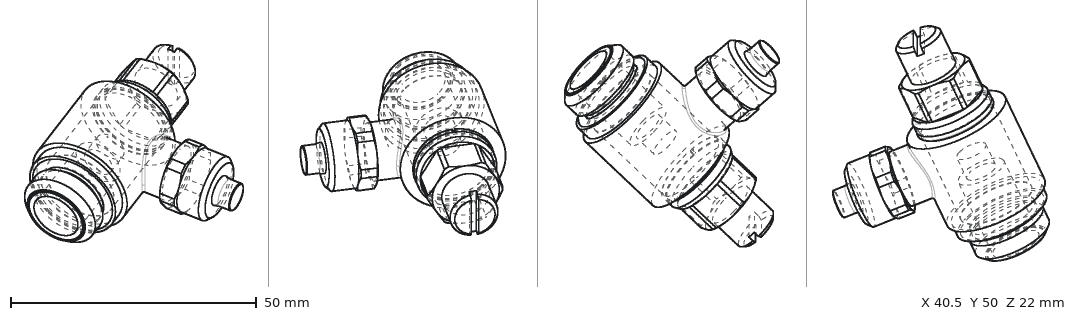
import cadquery as cq
import math


sleeve_radius = 11.0
sleeve_start = 10.0
sleeve_end = 30.0
shaft_radius = 15.9 / 2

liner_radius = 6.4
liner_lip = 0.15
end_radius = 6.75
thread_radius = 8.25
thread_lead_end = liner_lip + thread_radius - end_radius
thread_end = 4.8
neck_radius = 7.25
neck_start = thread_end + thread_radius - neck_radius

flange_radius = 10.0
flange_start = 6.95
flange_end = sleeve_start - 0.15
seal_radius = 9.3
seal_start = 6.1

ring_section_radius = 0.55
ring_center_radius = 7.95
ring_center_y = sleeve_end + ring_section_radius
ring_gap = 0.6
shoulder_radius = 16.85 / 2
shoulder_start = 31.3
shoulder_bevel_start = 33.1
shoulder_end = 34.25

hex_flats = 14.0
hex_flat_radius = hex_flats / 2
bolt_hex_end = 41.65
bolt_hex_corner_radius = 7.8
bolt_hex_bevel = 0.45

spindle_radius = 5.0
spindle_end = 50.0
spindle_bevel = 0.8
slot_width = 1.5
slot_depth = 2.0

bore_radius = 10.25 / 2
bore_depth = 17.5
inner_bore_radius = 6.5 / 2
inner_bore_depth = 22.5

outlet_y = 22.5
outlet_radius = 6.0
outlet_fillet = 0.5
outlet_hex_start = 15.5
outlet_hex_end = 19.5
outlet_hex_corner_radius = 7.55
outlet_hex_bevel = 0.3
cap_radius = 7.0
cap_end = 25.5
cap_bevel = 1.0
spigot_root_radius = 6.5 / 2
spigot_radius = 6.0 / 2
spigot_taper_end = 26.8
spigot_end = 29.5
spigot_bevel = 0.15


def revolve_about_y(points):
    """Revolve an outline of (radius, y) points about the Y axis."""
    return cq.Workplane("XY").polyline(points).close().revolve(360, (0, 0), (0, 1))


def revolve_about_outlet(points):
    """Revolve an outline of (x, radius) points about the outlet axis."""
    profile = cq.Workplane("XY", origin=(0, outlet_y, 0)).polyline(points).close()
    return profile.revolve(360, (0, 0), (1, 0))


def hex_prism(plane, length):
    """Extrude a hexagon from a plane whose local x passes through two corners."""
    return cq.Workplane(plane).polygon(6, hex_flats / math.cos(math.pi / 6)).extrude(length)


def make_bolt_hex():
    plane = cq.Plane(origin=(0, shoulder_end, 0), xDir=(1, 0, 0), normal=(0, 1, 0))
    envelope = revolve_about_y([
        (0, shoulder_end),
        (bolt_hex_corner_radius, shoulder_end),
        (bolt_hex_corner_radius, bolt_hex_end - bolt_hex_bevel),
        (hex_flat_radius, bolt_hex_end),
        (0, bolt_hex_end),
    ])
    return hex_prism(plane, bolt_hex_end - shoulder_end).intersect(envelope)


def make_bolt_core():
    """Turned shape from the threaded end up to the shoulder under the hexagon."""
    return revolve_about_y([
        (0, 0),
        (liner_radius - liner_lip, 0),
        (liner_radius, liner_lip),
        (end_radius, liner_lip),
        (thread_radius, thread_lead_end),
        (thread_radius, thread_end),
        (neck_radius, neck_start),
        (neck_radius, flange_start),
        (flange_radius, flange_start),
        (flange_radius, flange_end),
        (shaft_radius, flange_end),
        (shaft_radius, shoulder_start),
        (shoulder_radius, shoulder_start),
        (shoulder_radius, shoulder_bevel_start),
        (bolt_hex_corner_radius, shoulder_end),
        (0, shoulder_end),
    ])


def make_seal():
    """Rounded bead on the underside of the flange."""
    middle_radius = (neck_radius + seal_radius) / 2
    profile = (
        cq.Workplane("XY")
        .moveTo(neck_radius, flange_start)
        .threePointArc((middle_radius, seal_start), (seal_radius, flange_start))
        .close()
    )
    return profile.revolve(360, (0, 0), (0, 1))


def make_retaining_ring():
    """Round-wire ring resting on the sleeve, split at the top."""
    ring = (
        cq.Workplane("XY")
        .center(ring_center_radius, ring_center_y)
        .circle(ring_section_radius)
        .revolve(360, (-ring_center_radius, 0), (-ring_center_radius, 1))
    )
    gap = cq.Workplane("XY", origin=(0, ring_center_y, 0)).box(
        ring_gap, 2 * ring_section_radius, sleeve_radius, centered=(True, True, False)
    )
    return ring.cut(gap)


def make_spindle():
    spindle = revolve_about_y([
        (0, shoulder_end),
        (spindle_radius, shoulder_end),
        (spindle_radius, spindle_end - spindle_bevel),
        (spindle_radius - spindle_bevel, spindle_end),
        (0, spindle_end),
    ])
    slot = cq.Workplane("XY", origin=(0, spindle_end - slot_depth / 2, 0)).box(
        slot_width, slot_depth, 2 * spindle_radius
    )
    return spindle.cut(slot)


def make_blind_bore():
    return revolve_about_y([
        (0, 0),
        (bore_radius, 0),
        (bore_radius, bore_depth),
        (inner_bore_radius, bore_depth),
        (inner_bore_radius, inner_bore_depth),
        (0, inner_bore_depth),
    ])


def make_bolt():
    bolt = make_bolt_core().union(make_seal()).union(make_retaining_ring())
    bolt = bolt.union(make_bolt_hex()).union(make_spindle())
    return bolt.cut(make_blind_bore())


def make_outlet_hex():
    plane = cq.Plane(origin=(outlet_hex_start, outlet_y, 0), xDir=(0, 1, 0), normal=(1, 0, 0))
    envelope = revolve_about_outlet([
        (outlet_hex_start, 0),
        (outlet_hex_start, hex_flat_radius),
        (outlet_hex_start + outlet_hex_bevel, outlet_hex_corner_radius),
        (outlet_hex_end - outlet_hex_bevel, outlet_hex_corner_radius),
        (outlet_hex_end, hex_flat_radius),
        (outlet_hex_end, 0),
    ])
    return hex_prism(plane, outlet_hex_end - outlet_hex_start).intersect(envelope)


def make_outlet_end():
    """Round cap beyond the hexagon and the tapered spigot at its end."""
    return revolve_about_outlet([
        (outlet_hex_end, 0),
        (outlet_hex_end, cap_radius),
        (cap_end - cap_bevel, cap_radius),
        (cap_end, cap_radius - cap_bevel),
        (cap_end, spigot_root_radius),
        (spigot_taper_end, spigot_radius),
        (spigot_end - spigot_bevel, spigot_radius),
        (spigot_end, spigot_radius - spigot_bevel),
        (spigot_end, 0),
    ])


def make_sleeve():
    barrel_plane = cq.Plane(origin=(0, sleeve_start, 0), xDir=(1, 0, 0), normal=(0, 1, 0))
    barrel = cq.Workplane(barrel_plane).circle(sleeve_radius).extrude(sleeve_end - sleeve_start)
    outlet = cq.Workplane("YZ").center(outlet_y, 0).circle(outlet_radius).extrude(outlet_hex_start)
    sleeve = barrel.union(outlet)

    joint_box = cq.selectors.BoxSelector(
        (0.5, outlet_y - outlet_radius - 0.5, -outlet_radius - 0.5),
        (sleeve_radius + 0.5, outlet_y + outlet_radius + 0.5, outlet_radius + 0.5),
        boundingbox=True,
    )
    sleeve = sleeve.edges(joint_box).fillet(outlet_fillet)

    sleeve = sleeve.union(make_outlet_hex()).union(make_outlet_end())
    bore = cq.Workplane(barrel_plane).circle(shaft_radius).extrude(sleeve_end - sleeve_start)
    return sleeve.cut(bore)


bolt = make_bolt()
sleeve = make_sleeve()
result = cq.Compound.makeCompound([sleeve.val(), bolt.val()])